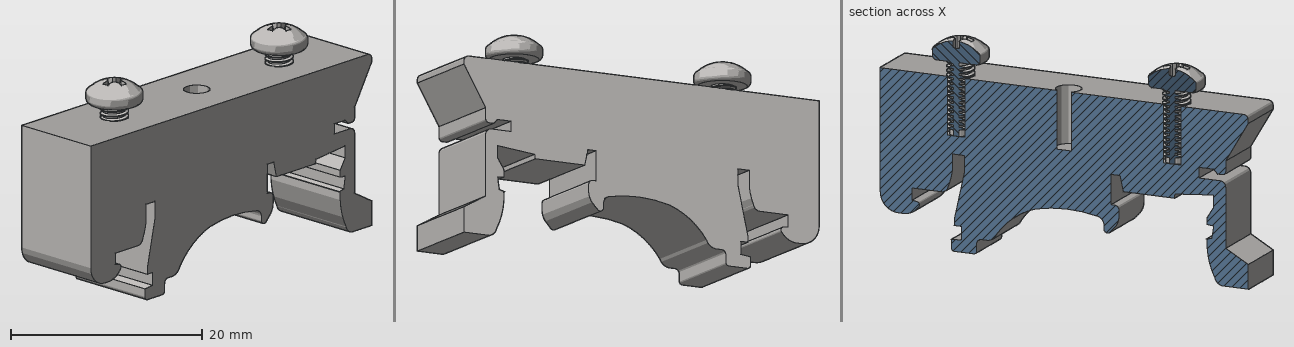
import cadquery as cq
LENGTH = 42.6
WIDTH = 10.0
BLOCK_HEIGHT = 19.0

TOP_CORNER_RADIUS = 0.6
NECK_DEPTH = 2.6
NECK_TOP = 13.67
ARM_INNER = 4.05
ARM_LIP = 4.8
RELIEF_TOP = 12.55
RELIEF_BOTTOM = 11.45
RELIEF_END = 5.65
ARM_CORNER_RADIUS = 0.7
NOSE_BOTTOM = 12.1
NOSE_RADIUS = 0.43

SLOT_TOP = 10.55
PAD_BOTTOM = 8.85
FINGER_SLOT_WALL = 15.85
FOOT_SLOT_WALL = 32.85
HOOK_SLOT_WALL = 34.2
HOOK_CEILING = 6.3
HOOK_INNER = 38.85
HOOK_BOTTOM = 3.4
HOOK_RADIUS = 2.15
FOOT_START = 31.4
FOOT_END = 34.38
FOOT_SHOULDER = 1.65
FOOT_SHOULDER_RADIUS = 0.5
FOOT_RADIUS = 0.4
FOOT_GROOVE_BOTTOM = 1.28
FOOT_GROOVE_TOP = 2.8
FOOT_GROOVE_WALL = 33.23
FOOT_LIP = 34.05

SCREW_OFFSET = 12.5
SCREW_OFFSETS = (-SCREW_OFFSET, SCREW_OFFSET)
MIDDLE_HOLE_DIAMETER = 2.75
HOLE_DEPTH = 6.4

THREAD_DIAMETER = 3.0
CORE_DIAMETER = 2.35
THREAD_PITCH = 0.5
THREAD_ROOT_WIDTH = 0.4
THREAD_CREST_WIDTH = 0.1
THREAD_EMBED = 0.05
THREAD_TURN = 60.0

OVERALL_HEIGHT = 23.05
HEAD_DIAMETER = 6.0
HEAD_BOTTOM = 20.58
RIM_BOTTOM = 21.05
RIM_TOP = 21.6
DOME_BASE = 22.0
DOME_BASE_RADIUS = 2.75
DOME_TOP = OVERALL_HEIGHT + 0.065

RECESS_DEPTH = 1.5
RECESS_ARM_WIDTH = 0.7
RECESS_TOP_REACH = 1.55
RECESS_FLOOR_REACH = 0.9
RECESS_CORE_SIDE = 1.35


def latch_outline(path):
    """Sloped end wall, relief slot, and latch arm down to its foot and back up inside."""
    return (
        path.moveTo(TOP_CORNER_RADIUS, BLOCK_HEIGHT)
        .radiusArc((0, BLOCK_HEIGHT - TOP_CORNER_RADIUS), -TOP_CORNER_RADIUS)
        .lineTo(0, 18.05)
        .lineTo(NECK_DEPTH, NECK_TOP)
        .lineTo(NECK_DEPTH, NOSE_BOTTOM + NOSE_RADIUS)
        .radiusArc((NECK_DEPTH + NOSE_RADIUS, NOSE_BOTTOM), -NOSE_RADIUS)
        .lineTo(3.58, NOSE_BOTTOM)
        .lineTo(ARM_INNER, RELIEF_TOP)
        .lineTo(RELIEF_END, RELIEF_TOP)
        .lineTo(RELIEF_END, RELIEF_BOTTOM)
        .lineTo(NECK_DEPTH + ARM_CORNER_RADIUS, RELIEF_BOTTOM)
        .radiusArc((NECK_DEPTH, RELIEF_BOTTOM - ARM_CORNER_RADIUS), -ARM_CORNER_RADIUS)
        .lineTo(NECK_DEPTH, 4.17)
        .lineTo(0, 2.73)
        .lineTo(0, 0)
        .lineTo(3.02, 0)
        .threePointArc((3.55, 0.2), (3.9, 0.8))
        .threePointArc((4.55, 2.43), (ARM_LIP, 4.8))
        .lineTo(4.9, 4.9)
        .lineTo(4.25, 5.05)
        .lineTo(ARM_INNER, 6.4)
        .lineTo(ARM_LIP, 6.48)
        .lineTo(ARM_LIP, 7.25)
        .lineTo(ARM_INNER, 8.45)
        .lineTo(ARM_INNER, 9.75)
    )


def finger_outline(path):
    """Stepped pad, upright slot and the pointed finger beside the arch."""
    return (
        path.lineTo(8.48, 9.35)
        .lineTo(8.55, PAD_BOTTOM)
        .lineTo(14.5, PAD_BOTTOM)
        .lineTo(14.85, SLOT_TOP)
        .lineTo(FINGER_SLOT_WALL, SLOT_TOP)
        .lineTo(FINGER_SLOT_WALL, 7.33)
        .lineTo(15.45, 7.33)
        .radiusArc((14.95, 6.8), -0.5)
        .lineTo(14.95, 6.05)
        .threePointArc((15.1, 5.45), (15.38, 4.95))
        .lineTo(16.05, 4.2)
        .threePointArc((16.5, 4.17), (16.75, 4.5))
        .lineTo(16.75, 5.03)
    )


def arch_outline(path):
    """Arch that flattens towards the finger, and the foot it runs down to."""
    return (
        path.radiusArc((17.5, 5.85), 0.85)
        .threePointArc((20.85, 6.18), (24.6, 5.75))
        .threePointArc((27.15, 4.47), (29.1, 2.45))
        .threePointArc((29.52, 1.9), (30.15, FOOT_SHOULDER))
        .lineTo(FOOT_START - FOOT_SHOULDER_RADIUS, FOOT_SHOULDER)
        .radiusArc((FOOT_START, FOOT_SHOULDER - FOOT_SHOULDER_RADIUS), FOOT_SHOULDER_RADIUS)
        .lineTo(FOOT_START, FOOT_RADIUS)
        .radiusArc((FOOT_START + FOOT_RADIUS, 0), -FOOT_RADIUS)
        .lineTo(FOOT_END - FOOT_RADIUS, 0)
        .radiusArc((FOOT_END, FOOT_RADIUS), -FOOT_RADIUS)
        .lineTo(FOOT_END, FOOT_GROOVE_BOTTOM)
        .lineTo(FOOT_GROOVE_WALL, FOOT_GROOVE_BOTTOM + 0.13)
        .lineTo(FOOT_GROOVE_WALL, FOOT_GROOVE_TOP)
        .lineTo(FOOT_LIP, FOOT_GROOVE_TOP)
        .lineTo(FOOT_LIP, 3.5)
        .lineTo(32.9, 8.65)
        .radiusArc((FOOT_SLOT_WALL, 9.1), 2.15)
    )


def hook_outline(path):
    """Curved upright slot and the fixed hook with its rounded underside."""
    return (
        path.lineTo(FOOT_SLOT_WALL, SLOT_TOP)
        .lineTo(HOOK_SLOT_WALL, SLOT_TOP)
        .lineTo(HOOK_SLOT_WALL, 8.75)
        .threePointArc((34.4, 7.75), (34.7, 6.9))
        .radiusArc((35.45, HOOK_CEILING), -0.75)
        .lineTo(HOOK_INNER, HOOK_CEILING)
        .lineTo(HOOK_INNER, 5.03)
        .lineTo(38.35, 4.95)
        .threePointArc((38.05, 4.73), (38.13, 4.35))
        .threePointArc((38.8, 3.7), (39.7, HOOK_BOTTOM))
        .lineTo(LENGTH - HOOK_RADIUS, HOOK_BOTTOM)
        .radiusArc((LENGTH, HOOK_BOTTOM + HOOK_RADIUS), -HOOK_RADIUS)
        .lineTo(LENGTH, BLOCK_HEIGHT)
        .close()
    )


def make_holder():
    """Extruded rail holder with a middle hole and two screw holes in its top face."""
    side = cq.Plane(origin=(WIDTH / 2, LENGTH / 2, 0), xDir=(0, -1, 0), normal=(-1, 0, 0))
    path = latch_outline(cq.Workplane(side))
    path = finger_outline(path)
    path = arch_outline(path)
    block = hook_outline(path).extrude(WIDTH)

    top = cq.Workplane("XY").workplane(offset=BLOCK_HEIGHT)
    middle_hole = top.circle(MIDDLE_HOLE_DIAMETER / 2).extrude(-HOLE_DEPTH)
    screw_holes = (
        top.pushPoints([(0, offset) for offset in SCREW_OFFSETS])
        .circle(THREAD_DIAMETER / 2)
        .extrude(-HOLE_DEPTH)
    )
    return block.cut(middle_hole).cut(screw_holes)


def make_head():
    """Domed screw head with a rounded rim."""
    rim_radius = HEAD_DIAMETER / 2
    bottom_radius = rim_radius - 0.4
    dome_rise = DOME_TOP - DOME_BASE
    dome_radius = (DOME_BASE_RADIUS**2 + dome_rise**2) / (2 * dome_rise)
    return (
        cq.Workplane("XZ")
        .moveTo(0, HEAD_BOTTOM)
        .lineTo(bottom_radius, HEAD_BOTTOM)
        .threePointArc((rim_radius - 0.13, HEAD_BOTTOM + 0.15), (rim_radius, RIM_BOTTOM))
        .lineTo(rim_radius, RIM_TOP)
        .threePointArc((rim_radius - 0.05, RIM_TOP + 0.2), (DOME_BASE_RADIUS, DOME_BASE))
        .radiusArc((0, DOME_TOP), -dome_radius)
        .close()
        .revolve(360, (0, 0, 0), (0, 1, 0))
    )


def make_recess():
    """Cross recess: two crossed arms with sloped round tips and a square core."""
    floor = DOME_TOP - RECESS_DEPTH
    floor_plane = cq.Workplane("XY").workplane(offset=floor)
    reach = (
        floor_plane.circle(RECESS_FLOOR_REACH)
        .workplane(offset=RECESS_DEPTH)
        .circle(RECESS_TOP_REACH)
        .loft()
    )
    arm = floor_plane.rect(2 * RECESS_TOP_REACH, RECESS_ARM_WIDTH).extrude(RECESS_DEPTH)
    cross = arm.union(arm.rotate((0, 0, 0), (0, 0, 1), 90)).intersect(reach)
    core = (
        floor_plane.transformed(rotate=(0, 0, 45))
        .rect(RECESS_CORE_SIDE, RECESS_CORE_SIDE)
        .extrude(RECESS_DEPTH)
    )
    return core.union(cross)


def make_thread(bottom, height):
    """Right-handed helical ridge around the screw axis."""
    root = CORE_DIAMETER / 2 - THREAD_EMBED
    crest = THREAD_DIAMETER / 2
    helix = cq.Wire.makeHelix(THREAD_PITCH, height, root)
    ridge = (
        cq.Workplane("XZ")
        .polyline([
            (root, -THREAD_ROOT_WIDTH / 2),
            (crest, -THREAD_CREST_WIDTH / 2),
            (crest, THREAD_CREST_WIDTH / 2),
            (root, THREAD_ROOT_WIDTH / 2),
        ])
        .close()
        .sweep(cq.Workplane(helix), isFrenet=True)
    )
    return ridge.rotate((0, 0, 0), (0, 0, 1), THREAD_TURN).translate((0, 0, bottom))


def make_screw():
    """Round-head screw standing on the floor of its hole."""
    tip = BLOCK_HEIGHT - HOLE_DEPTH
    core = (
        cq.Workplane("XY")
        .workplane(offset=tip)
        .circle(CORE_DIAMETER / 2)
        .extrude(HEAD_BOTTOM - tip)
    )
    thread_bottom = tip + THREAD_ROOT_WIDTH
    thread = make_thread(thread_bottom, HEAD_BOTTOM - thread_bottom)
    return core.union(thread).union(make_head()).cut(make_recess())


holder = make_holder().solids()
screws = []
for offset in SCREW_OFFSETS:
    screws.append(make_screw().translate((0, offset, 0)).solids())

result = cq.Compound.makeCompound([holder.val(), *[screw.val() for screw in screws]])